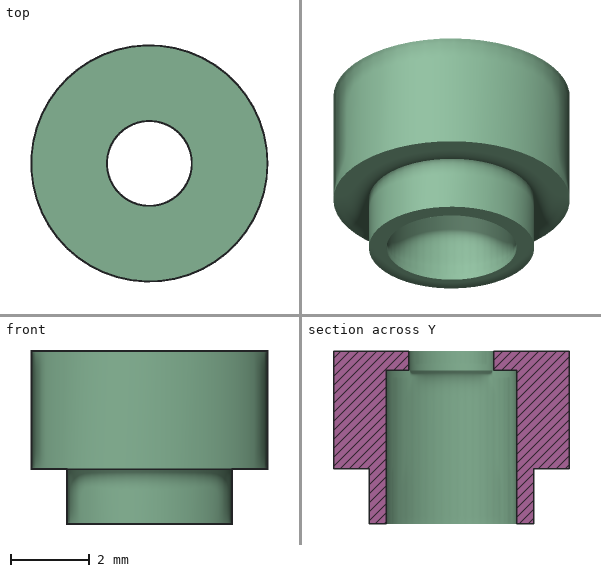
import cadquery as cq

head_diameter = 6.0
head_height = 3.0
spigot_diameter = 4.2
spigot_height = 1.4
mouth_diameter = 2.15
cavity_diameter = 3.3
top_wall = 0.5

total_height = spigot_height + head_height
cavity_depth = total_height - top_wall

spigot = cq.Workplane("XY").circle(spigot_diameter / 2).extrude(spigot_height)
head = (
    cq.Workplane("XY")
    .workplane(offset=spigot_height)
    .circle(head_diameter / 2)
    .extrude(head_height)
)

mouth = cq.Workplane("XY").circle(mouth_diameter / 2).extrude(total_height)
cavity = cq.Workplane("XY").circle(cavity_diameter / 2).extrude(cavity_depth)

result = spigot.union(head).cut(mouth).cut(cavity)